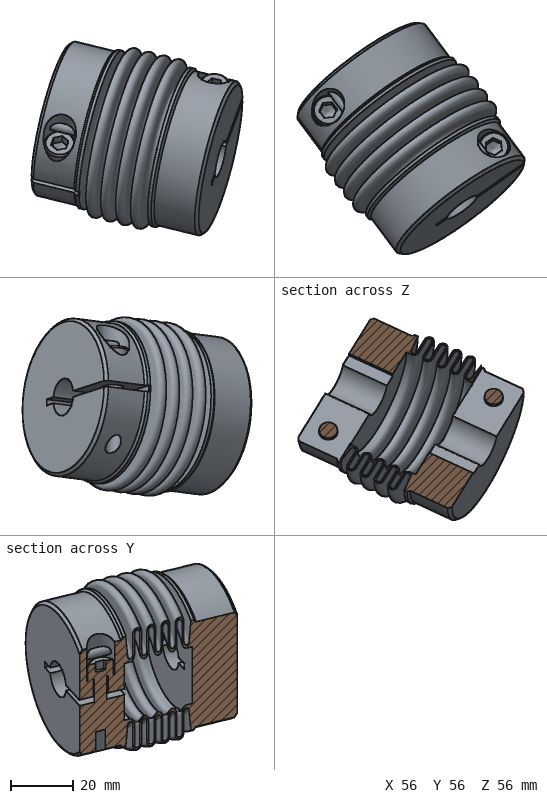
import cadquery as cq
import math

length = 55.95
hub_radius = 25.5
end_chamfer = 1.0
hub_inner_x = 11.9
bore_diameter = 12.0

collar_radius = 52.5 / 2
collar_inner_x = 11.5
collar_width = 1.1

end_disc_radius = 25.75
bellows_radius = 28.0
root_radius = 20.0
pitch = 5.0
crest_count = 4
crest_width = 3.25
groove_width = pitch - crest_width
wall = (crest_width - groove_width) / 2

slit_width = 2.0
slit_depth = 10.0

screw_x = 20.45
screw_y = 18.0
thread_diameter = 6.0
core_diameter = 5.0
clearance_diameter = 6.5
counterbore_diameter = 10.5
head_diameter = 10.0
head_top_z = 13.5
head_height = thread_diameter
head_chamfer_radial = 0.5
head_chamfer_axial = 0.7
seat_z = head_top_z - head_height
shank_length = 20.0
socket_flats = 5.0
socket_depth = 3.0
socket_tip_depth = 1.7

pin_diameter = 3.2
pin_length = counterbore_diameter
pin_y = 13.3
pin_z = 15.5


def add_folds(outline, crest_half_width, thickness):
    """Trace the crests and the roots between them, at the given depth below the outside."""
    root_half_width = pitch / 2 - crest_half_width
    crest_center = bellows_radius - crest_width / 2
    root_center = root_radius + groove_width / 2
    crest_top = bellows_radius - thickness
    root_bottom = root_radius - thickness
    for i in range(crest_count):
        crest_x = (i - (crest_count - 1) / 2) * pitch
        left = crest_x - crest_half_width
        right = crest_x + crest_half_width
        if i > 0:
            root_x = crest_x - pitch / 2
            outline = outline.threePointArc((root_x, root_bottom), (root_x + root_half_width, root_center))
        outline = outline.lineTo(left, crest_center)
        outline = outline.threePointArc((crest_x, crest_top), (right, crest_center))
        outline = outline.lineTo(right, root_center)
    return outline


def quarter_arc_point(center_x, center_r, radius, side):
    """Middle of the lower quarter arc on the given side (-1 or 1) of a root fold."""
    offset = radius * math.sqrt(0.5)
    return (center_x + side * offset, center_r - offset)


def collar_tangent_point(center_x, center_r, radius):
    """Where a straight wall from the collar corner runs smoothly into the end root fold."""
    run = collar_inner_x - center_x
    rise = collar_radius - center_r
    angle = math.atan2(rise, run) - math.acos(radius / math.hypot(run, rise))
    return (center_x + radius * math.cos(angle), center_r + radius * math.sin(angle))


def revolve_about_x(outline):
    """Close an outline and spin it about the coupling axis."""
    return outline.close().revolve(360, (0, 0, 0), (1, 0, 0))


def make_envelope():
    """Both hubs, their collars and the outside of the bellows as one turned body."""
    half = length / 2
    collar_outer_x = collar_inner_x + collar_width
    groove_x = crest_count * pitch / 2
    groove_radius = groove_width / 2
    root_center = root_radius + groove_radius
    wall_end = collar_tangent_point(groove_x, root_center, groove_radius)
    hub_end = [
        (half, 0),
        (half, hub_radius - end_chamfer),
        (half - end_chamfer, hub_radius),
        (collar_outer_x + collar_radius - hub_radius, hub_radius),
        (collar_outer_x, collar_radius),
        (collar_inner_x, collar_radius),
        wall_end,
    ]
    outline = cq.Workplane("XY").polyline([(-x, r) for x, r in hub_end])
    outline = outline.threePointArc((-groove_x, root_radius), (-groove_x + groove_radius, root_center))
    outline = add_folds(outline, crest_width / 2, 0)
    outline = outline.threePointArc((groove_x, root_radius), hub_end[-1])
    for x, r in reversed(hub_end[:-1]):
        outline = outline.lineTo(x, r)
    return revolve_about_x(outline)


def make_cavity():
    """Hollow inside of the bellows between the two hub faces."""
    groove_x = crest_count * pitch / 2
    fold_radius = groove_width / 2 + wall
    root_center = root_radius + groove_width / 2
    inner_radius = root_radius - wall
    outline = cq.Workplane("XY").moveTo(-hub_inner_x, 0).lineTo(-hub_inner_x, inner_radius)
    outline = outline.lineTo(-groove_x, inner_radius)
    outline = outline.threePointArc(
        quarter_arc_point(-groove_x, root_center, fold_radius, 1),
        (-groove_x + fold_radius, root_center),
    )
    outline = add_folds(outline, crest_width / 2 - wall, wall)
    outline = outline.threePointArc(
        quarter_arc_point(groove_x, root_center, fold_radius, -1),
        (groove_x, inner_radius),
    )
    outline = outline.lineTo(hub_inner_x, inner_radius).lineTo(hub_inner_x, 0)
    return revolve_about_x(outline)


def vertical_cylinder(diameter, z_low, z_high):
    """Cylinder on the screw axis of the left hub."""
    base = cq.Workplane("XY", origin=(-screw_x, -screw_y, z_low))
    return base.circle(diameter / 2).extrude(z_high - z_low)


def make_clamp_cuts():
    """Slit and screw holes of the left hub; the slit stops at the end disc."""
    slit_length = length / 2 - collar_inner_x
    slit = cq.Workplane("XY").box(
        slit_length, slit_depth + bellows_radius, slit_width, centered=(False, False, True)
    )
    slit = slit.translate((-length / 2, -bellows_radius, 0))
    end_disc = cq.Workplane("YZ", origin=(-hub_inner_x, 0, 0)).circle(end_disc_radius).extrude(hub_inner_x)
    slit = slit.cut(end_disc)
    counterbore = vertical_cylinder(counterbore_diameter, seat_z, bellows_radius)
    clearance = vertical_cylinder(clearance_diameter, 0, seat_z)
    core = vertical_cylinder(core_diameter, -bellows_radius, 0)
    return slit.union(counterbore).union(clearance).union(core)


def make_socket(rotation):
    """Hexagonal socket with a conical bottom; at zero rotation two corners lie along X."""
    corner_diameter = socket_flats / math.cos(math.pi / 6)
    total_depth = socket_depth + socket_tip_depth
    hexagon = cq.Workplane("XY").polygon(6, corner_diameter).extrude(-total_depth)
    drill = (
        cq.Workplane("XZ")
        .polyline([(0, 0), (corner_diameter / 2, 0), (corner_diameter / 2, -socket_depth), (0, -total_depth)])
        .close()
        .revolve(360, (0, 0, 0), (0, 1, 0))
    )
    socket = hexagon.intersect(drill).rotate((0, 0, 0), (0, 0, 1), rotation)
    return socket.translate((-screw_x, -screw_y, head_top_z))


def make_screw(socket_rotation):
    """Socket head screw of the left hub."""
    head = vertical_cylinder(head_diameter, seat_z, head_top_z)
    head = head.faces(">Z").edges().chamfer(head_chamfer_axial, head_chamfer_radial)
    shank = vertical_cylinder(thread_diameter, seat_z - shank_length, seat_z)
    return head.union(shank).cut(make_socket(socket_rotation))


def make_pin():
    """Retaining pin of the left hub, half sunk in the counterbore wall."""
    start = cq.Workplane("YZ", origin=(-screw_x - pin_length / 2, -pin_y, pin_z))
    return start.circle(pin_diameter / 2).extrude(pin_length)


def turned(shape, angle):
    """Rotate a shape about Z."""
    return shape.rotate((0, 0, 0), (0, 0, 1), angle)


bore = cq.Workplane("YZ").circle(bore_diameter / 2).extrude(length, both=True)
result = make_envelope().cut(make_cavity()).cut(bore)

for turn, socket_rotation in ((0, 90), (180, 0)):
    clamp_cuts = turned(make_clamp_cuts(), turn)
    screw = turned(make_screw(socket_rotation), turn)
    pin = turned(make_pin(), turn)
    result = result.cut(clamp_cuts).union(screw).union(pin)